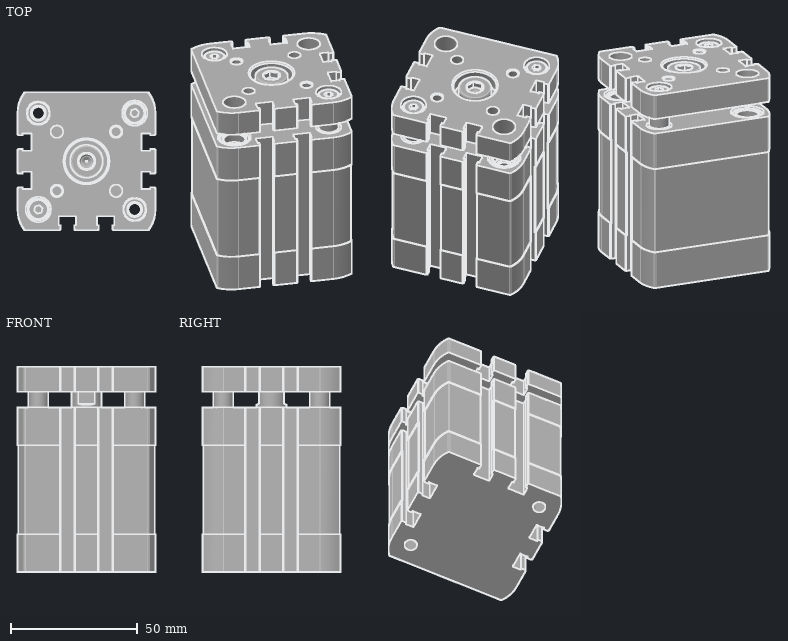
import cadquery as cq
import math

WIDTH = 54.5
HALF_WIDTH = WIDTH / 2
SIDE_ARC_RADIUS = 13.5
SIDE_ARC_START_Y = 19.1
CORNER_RADIUS = 0.7

HOUSING_HEIGHT = 65.0
CAP_HEIGHT = 15.0
BARREL_INSET = 0.25
GAP = 6.1
PLATE_THICKNESS = 10.0
PLATE_BOTTOM = HOUSING_HEIGHT + GAP
PLATE_TOP = PLATE_BOTTOM + PLATE_THICKNESS

SLOT_OFFSET = 7.55
SLOT_MOUTH_WIDTH = 5.35
SLOT_INNER_WIDTH = 6.75
SLOT_LIP = 2.1
SLOT_DEPTH = 5.55
SLOT_EDGE_CHAMFER = 0.35
SLOT_FACE_ANGLES = (0, 90, -90)

CORNER_PITCH = 38.0
CORNER = CORNER_PITCH / 2
ROD_POINTS = [(CORNER, CORNER), (-CORNER, -CORNER)]
MOUNTING_POINTS = [(-CORNER, CORNER), (CORNER, -CORNER)]
PLATE_HOLE_CIRCLE = 33.0
PLATE_HOLE = PLATE_HOLE_CIRCLE / 2 * math.cos(math.radians(45))
THREAD_POINTS = [(PLATE_HOLE, PLATE_HOLE), (-PLATE_HOLE, -PLATE_HOLE)]
DOWEL_POINTS = [(-PLATE_HOLE, PLATE_HOLE), (PLATE_HOLE, -PLATE_HOLE)]

MOUNTING_CORE_DIAMETER = 4.92
MOUNTING_THREAD_DIAMETER = 6.0
MOUNTING_BORE_DIAMETER = 8.57
MOUNTING_BORE_DEPTH = 4.7
SLEEVE_DIAMETER = 13.0
SLEEVE_TOP_DIAMETER = 11.4
SLEEVE_SINK = 0.5
SLEEVE_MOUTH_DIAMETER = 9.6

ACCESS_DIAMETER = 9.0
DOWEL_DIAMETER = 4.92
THREAD_DIAMETER = 4.92
THREAD_CORE_DIAMETER = 4.13

GUIDE_ROD_DIAMETER = 8.0
GUIDE_COLLAR_DIAMETER = 10.0
GUIDE_COLLAR_DEPTH = 5.0
PISTON_ROD_DIAMETER = 12.0
PISTON_ROD_FLATS = 10.0
FLATS_BOTTOM = 1.5
FLATS_RUNOUT_ANGLE = 30.0

CENTRE_BORE_DIAMETER = 17.0
CENTRE_BORE_CHAMFER = 0.6
CENTRE_BORE_DEPTH = 6.0
CENTRE_HEAD_DIAMETER = 13.0
CENTRE_HEAD_ROUND = 0.55
CENTRE_HEAD_SINK = 1.0
CENTRE_SOCKET_FLATS = 6.0
CENTRE_SOCKET_DEPTH = 3.0
CENTRE_DRILL_DIAMETER = 4.2

GUIDE_BORE_DIAMETER = 10.0
GUIDE_BORE_DEPTH = 4.5
GUIDE_HEAD_DIAMETER = 8.5
GUIDE_HEAD_CHAMFER = 0.5
GUIDE_HEAD_SINK = 1.0
GUIDE_SOCKET_FLATS = 3.0
GUIDE_SOCKET_DEPTH = 2.0
GUIDE_SOCKET_TURN = 15.0

DRILL_POINT_ANGLE = 118.0
HEX_CORNERS_PER_FLAT = 1 / math.cos(math.radians(30))


def cylinder(diameter, bottom, top, points=((0, 0),)):
    base = cq.Workplane("XY", origin=(0, 0, bottom)).pushPoints(points)
    return base.circle(diameter / 2).extrude(top - bottom)


def revolved(points, place=(0, 0)):
    """Solid of revolution about Z from (radius, height) points, moved to a place in plan."""
    turned = cq.Workplane("XZ").polyline(points).close().revolve(360, (0, 0, 0), (0, 1, 0))
    return turned.translate((place[0], place[1], 0))


def hexagon(flats, bottom, top, turn, place=(0, 0)):
    prism = cq.Workplane("XY").polygon(6, flats * HEX_CORNERS_PER_FLAT).extrude(top - bottom)
    prism = prism.rotate((0, 0, 0), (0, 0, 1), turn)
    return prism.translate((place[0], place[1], bottom))


def profile_prism(bottom, top, inset=0.0):
    """Square with curved-in corners, shrunk evenly by the inset."""
    half = HALF_WIDTH - inset
    arc_radius = SIDE_ARC_RADIUS - inset
    corner_radius = CORNER_RADIUS - inset
    arc_centre_x = half - arc_radius
    corner_y = half - corner_radius
    corner_rise = corner_y - SIDE_ARC_START_Y
    centre_gap = arc_radius - corner_radius
    corner_x = arc_centre_x + math.sqrt(centre_gap**2 - corner_rise**2)
    join_angle = math.asin(corner_rise / centre_gap)
    corner_mid_angle = (join_angle + math.pi / 2) / 2

    def arc_point(angle):
        return arc_centre_x + arc_radius * math.cos(angle), SIDE_ARC_START_Y + arc_radius * math.sin(angle)

    side_mid = arc_point(join_angle / 2)
    join = arc_point(join_angle)
    corner_mid = (
        corner_x + corner_radius * math.cos(corner_mid_angle),
        corner_y + corner_radius * math.sin(corner_mid_angle),
    )
    quarter = (
        cq.Workplane("XY", origin=(0, 0, bottom))
        .moveTo(0, 0)
        .lineTo(half, 0)
        .lineTo(half, SIDE_ARC_START_Y)
        .threePointArc(side_mid, join)
        .threePointArc(corner_mid, (corner_x, half))
        .lineTo(0, half)
        .close()
        .extrude(top - bottom)
    )
    side = quarter.union(quarter.mirror("XZ"))
    return side.union(side.mirror("YZ")).clean()


def t_slots(bottom, top, inset=0.0):
    """Cutters for all the T-slots between two heights, with mouths chamfered from the inset faces."""
    mouth = SLOT_MOUTH_WIDTH / 2
    inner = SLOT_INNER_WIDTH / 2
    flare = mouth + SLOT_EDGE_CHAMFER
    face = inset - HALF_WIDTH
    lip = SLOT_LIP - HALF_WIDTH
    floor = SLOT_DEPTH - HALF_WIDTH
    half_outline = [
        (flare, face),
        (mouth, face + SLOT_EDGE_CHAMFER),
        (mouth, lip),
        (inner, lip),
        (inner, floor),
    ]
    other_half = [(-x, y) for x, y in reversed(half_outline)]
    cutter = cq.Workplane("XY", origin=(0, 0, bottom))
    for offset in (-SLOT_OFFSET, SLOT_OFFSET):
        cutter = cutter.polyline([(offset + x, y) for x, y in half_outline + other_half]).close()
    pair = cutter.extrude(top - bottom)
    slots = cq.Workplane("XY")
    for angle in SLOT_FACE_ANGLES:
        slots = slots.add(pair.rotate((0, 0, 0), (0, 0, 1), angle))
    return slots.combine()


def slotted_block(bottom, top, inset=0.0):
    return profile_prism(bottom, top, inset).cut(t_slots(bottom, top, inset))


def mounting_hole(place):
    """Counterbored, threaded through hole with a bevelled sleeve round its mouth."""
    core = MOUNTING_CORE_DIAMETER / 2
    thread = MOUNTING_THREAD_DIAMETER / 2
    bore = MOUNTING_BORE_DIAMETER / 2
    mouth = SLEEVE_MOUTH_DIAMETER / 2
    floor = HOUSING_HEIGHT - MOUNTING_BORE_DEPTH
    sleeve = SLEEVE_DIAMETER / 2
    sleeve_top = SLEEVE_TOP_DIAMETER / 2
    sleeve_height = HOUSING_HEIGHT - SLEEVE_SINK
    hole = [
        (0, 0),
        (core, 0),
        (core, floor - (thread - core)),
        (thread, floor),
        (bore, floor),
        (bore, sleeve_height - (mouth - bore)),
        (mouth, sleeve_height),
        (sleeve_top, sleeve_height),
        (sleeve, sleeve_height - (sleeve - sleeve_top)),
        (sleeve, HOUSING_HEIGHT),
        (0, HOUSING_HEIGHT),
    ]
    return revolved(hole, place)


def guide_collars():
    """Collars at the foot of the guide rods, which also shape their recesses in the housing."""
    return cylinder(GUIDE_COLLAR_DIAMETER, HOUSING_HEIGHT - GUIDE_COLLAR_DEPTH, HOUSING_HEIGHT, ROD_POINTS)


def make_housing():
    upper_cap_bottom = HOUSING_HEIGHT - CAP_HEIGHT
    housing = (
        slotted_block(0, CAP_HEIGHT)
        .union(slotted_block(CAP_HEIGHT, upper_cap_bottom, BARREL_INSET))
        .union(slotted_block(upper_cap_bottom, HOUSING_HEIGHT))
    )
    housing = housing.cut(guide_collars())
    for place in MOUNTING_POINTS:
        housing = housing.cut(mounting_hole(place))
    return housing


def make_plate():
    plate = slotted_block(PLATE_BOTTOM, PLATE_TOP)
    plate = plate.cut(cylinder(ACCESS_DIAMETER, PLATE_BOTTOM, PLATE_TOP, MOUNTING_POINTS))
    plate = plate.cut(cylinder(DOWEL_DIAMETER, PLATE_BOTTOM, PLATE_TOP, DOWEL_POINTS))
    thread = THREAD_DIAMETER / 2
    core = THREAD_CORE_DIAMETER / 2
    threaded_hole = [
        (0, PLATE_BOTTOM),
        (core, PLATE_BOTTOM),
        (core, PLATE_TOP - (thread - core)),
        (thread, PLATE_TOP),
        (0, PLATE_TOP),
    ]
    for place in THREAD_POINTS:
        plate = plate.cut(revolved(threaded_hole, place))
    plate = plate.cut(cylinder(GUIDE_BORE_DIAMETER, PLATE_TOP - GUIDE_BORE_DEPTH, PLATE_TOP, ROD_POINTS))
    bore = CENTRE_BORE_DIAMETER / 2
    bore_mouth = bore + CENTRE_BORE_CHAMFER
    centre_bore = [
        (0, PLATE_TOP - CENTRE_BORE_DEPTH),
        (bore, PLATE_TOP - CENTRE_BORE_DEPTH),
        (bore, PLATE_TOP - CENTRE_BORE_CHAMFER),
        (bore_mouth, PLATE_TOP),
        (0, PLATE_TOP),
    ]
    return plate.cut(revolved(centre_bore))


def make_piston_rod():
    """Round rod with two wrench flats facing +Y and -Y, each running out in a slope."""
    radius = PISTON_ROD_DIAMETER / 2
    flat = PISTON_ROD_FLATS / 2
    flats_bottom = HOUSING_HEIGHT + FLATS_BOTTOM
    slope_drop = (radius - flat) * math.tan(math.radians(FLATS_RUNOUT_ANGLE))
    side_cut = (
        cq.Workplane("YZ", origin=(-radius, 0, 0))
        .polyline([
            (flat, PLATE_BOTTOM),
            (flat, flats_bottom),
            (radius, flats_bottom - slope_drop),
            (radius, PLATE_BOTTOM),
        ])
        .close()
        .extrude(PISTON_ROD_DIAMETER)
    )
    rod = cylinder(PISTON_ROD_DIAMETER, HOUSING_HEIGHT, PLATE_BOTTOM)
    return rod.cut(side_cut).cut(side_cut.mirror("XZ"))


def make_centre_screw():
    """Round-edged head with a hexagon socket that ends in a drilled point."""
    top = PLATE_TOP - CENTRE_HEAD_SINK
    head = cylinder(CENTRE_HEAD_DIAMETER, PLATE_TOP - CENTRE_BORE_DEPTH, top)
    head = head.faces(">Z").edges().fillet(CENTRE_HEAD_ROUND)
    socket_bottom = top - CENTRE_SOCKET_DEPTH
    head = head.cut(hexagon(CENTRE_SOCKET_FLATS, socket_bottom, top, 0))
    inscribed = CENTRE_SOCKET_FLATS / 2
    mouth = inscribed * HEX_CORNERS_PER_FLAT
    drill = CENTRE_DRILL_DIAMETER / 2
    drill_shoulder = socket_bottom - (inscribed - drill)
    drill_tip = drill_shoulder - drill / math.tan(math.radians(DRILL_POINT_ANGLE / 2))
    turned_socket = [
        (0, top),
        (mouth, top),
        (inscribed, top - (mouth - inscribed)),
        (inscribed, socket_bottom),
        (drill, drill_shoulder),
        (0, drill_tip),
    ]
    return head.cut(revolved(turned_socket))


def make_guide_screw(place):
    """Bevelled head with a hexagon socket."""
    top = PLATE_TOP - GUIDE_HEAD_SINK
    head = cylinder(GUIDE_HEAD_DIAMETER, PLATE_TOP - GUIDE_BORE_DEPTH, top, [place])
    head = head.faces(">Z").edges().chamfer(GUIDE_HEAD_CHAMFER)
    socket_bottom = top - GUIDE_SOCKET_DEPTH
    return head.cut(hexagon(GUIDE_SOCKET_FLATS, socket_bottom, top, GUIDE_SOCKET_TURN, place))


def make_yoke():
    """Plate with its piston rod, guide rods and screw heads, moving as one."""
    yoke = make_plate().union(make_piston_rod())
    yoke = yoke.union(cylinder(GUIDE_ROD_DIAMETER, HOUSING_HEIGHT, PLATE_BOTTOM, ROD_POINTS))
    yoke = yoke.union(guide_collars())
    yoke = yoke.union(make_centre_screw())
    for place in ROD_POINTS:
        yoke = yoke.union(make_guide_screw(place))
    return yoke


housing = make_housing()
yoke = make_yoke()

result = cq.Compound.makeCompound([housing.val(), yoke.val()])